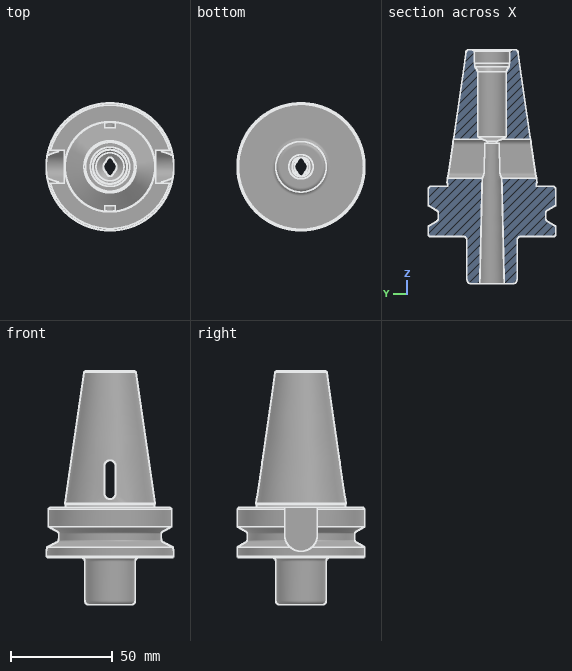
import cadquery as cq
import math

total_length = 115.4

nose_radius = 12.5
nose_fillet = 2.1
neck_fillet = 2.0

flange_bottom = 23.3
flange_top = 48.2
flange_radius = 31.5
flange_bottom_chamfer = 0.7
flange_top_chamfer = 1.0
lower_rim_top = 28.5
upper_rim_bottom = 38.5
groove_radius = 26.5
groove_fillet = 1.0
groove_angle = math.radians(30)
groove_cone_height = (flange_radius - groove_radius) * math.tan(groove_angle)

taper_bottom = 50.1
taper_radius = 22.3
collar_radius = 22.0
collar_top = 49.4
taper_top_radius = taper_radius - (total_length - taper_bottom) * 7 / 48
taper_top_chamfer = 0.7
taper_chamfer_radius = taper_top_radius + taper_top_chamfer * 7 / 48

keyway_width = 16.2
keyway_bottom = 26.4
keyway_floor_x = 22.6

drift_width = 5.3
drift_bottom = 52.2
drift_top = 71.2

mouth_radius = 9.7
mouth_chamfer_depth = 0.7
counterbore_radius = 8.5
counterbore_depth = 6.6
draw_bore_radius = 6.9
entry_radius = 8.3
entry_cone_depth = 8.4
entry_half_angle = math.radians(30)
drill_half_angle = math.radians(59)
drill_reach_radius = 4.6
pilot_radius = 3.2

draw_bore_bottom = drift_top + (draw_bore_radius - drill_reach_radius) / math.tan(drill_half_angle)
pilot_top = draw_bore_bottom - (draw_bore_radius - pilot_radius) / math.tan(drill_half_angle)

socket_mouth_radius = 6.0
socket_end_radius = 4.4
socket_end = 69.2


def make_body():
    """Revolved outside shape: nose, grooved flange and taper."""
    fillet_start = flange_bottom - neck_fillet
    fillet_mid = neck_fillet * (1 - math.sqrt(0.5))
    body = (
        cq.Workplane("XZ")
        .lineTo(nose_radius - nose_fillet, 0)
        .radiusArc((nose_radius, nose_fillet), -nose_fillet)
        .lineTo(nose_radius, fillet_start)
        .threePointArc(
            (nose_radius + fillet_mid, flange_bottom - fillet_mid),
            (nose_radius + neck_fillet, flange_bottom),
        )
        .lineTo(flange_radius - flange_bottom_chamfer, flange_bottom)
        .lineTo(flange_radius, flange_bottom + flange_bottom_chamfer)
        .lineTo(flange_radius, lower_rim_top)
        .lineTo(groove_radius, lower_rim_top + groove_cone_height)
        .lineTo(groove_radius, upper_rim_bottom - groove_cone_height)
        .lineTo(flange_radius, upper_rim_bottom)
        .lineTo(flange_radius, flange_top - flange_top_chamfer)
        .lineTo(flange_radius - flange_top_chamfer, flange_top)
        .lineTo(collar_radius, flange_top)
        .lineTo(collar_radius, collar_top)
        .lineTo(taper_radius, taper_bottom)
        .lineTo(taper_chamfer_radius, total_length - taper_top_chamfer)
        .lineTo(taper_top_radius - taper_top_chamfer, total_length)
        .lineTo(0, total_length)
        .close()
        .revolve(360, (0, 0, 0), (0, 1, 0))
    )
    groove_floor = cq.selectors.BoxSelector(
        (-flange_radius, -flange_radius, lower_rim_top + groove_cone_height / 2),
        (flange_radius, flange_radius, upper_rim_bottom - groove_cone_height / 2),
    )
    return body.faces(groove_floor).edges("%CIRCLE").fillet(groove_fillet)


def make_bore():
    """Draw-bar bore, pilot hole and tapered socket joined along the axis."""
    counterbore_floor = total_length - counterbore_depth
    entry_cone_top = total_length - entry_cone_depth
    entry_cone_height = (entry_radius - draw_bore_radius) / math.tan(entry_half_angle)
    return (
        cq.Workplane("XZ")
        .lineTo(socket_mouth_radius, 0)
        .lineTo(socket_end_radius, socket_end)
        .lineTo(pilot_radius, socket_end)
        .lineTo(pilot_radius, pilot_top)
        .lineTo(draw_bore_radius, draw_bore_bottom)
        .lineTo(draw_bore_radius, entry_cone_top - entry_cone_height)
        .lineTo(entry_radius, entry_cone_top)
        .lineTo(entry_radius, counterbore_floor)
        .lineTo(counterbore_radius, counterbore_floor)
        .lineTo(counterbore_radius, total_length - mouth_chamfer_depth)
        .lineTo(mouth_radius, total_length)
        .lineTo(0, total_length)
        .close()
        .revolve(360, (0, 0, 0), (0, 1, 0))
    )


def make_drift_slot():
    """Round-ended slot passing right through along Y."""
    return (
        cq.Workplane("XZ")
        .center(0, (drift_bottom + drift_top) / 2)
        .slot2D(drift_top - drift_bottom, drift_width, 90)
        .extrude(flange_radius, both=True)
    )


def make_keyway(side):
    """Keyway on the +X (side = 1) or -X (side = -1) edge of the flange."""
    half_width = keyway_width / 2
    arc_centre = keyway_bottom + half_width
    return (
        cq.Workplane("YZ", origin=(side * keyway_floor_x, 0, 0))
        .moveTo(-half_width, flange_top)
        .lineTo(-half_width, arc_centre)
        .threePointArc((0, keyway_bottom), (half_width, arc_centre))
        .lineTo(half_width, flange_top)
        .close()
        .extrude(side * flange_radius)
    )


result = make_body().cut(make_bore()).cut(make_drift_slot())
for side in (-1, 1):
    result = result.cut(make_keyway(side))